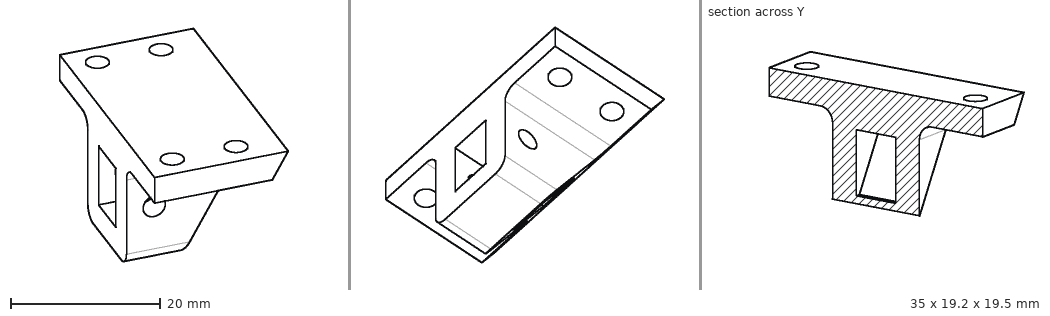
import cadquery as cq
import math

plate_width = 35.0
depth = 19.25
height = 19.5
wall = 4.0
corner_radius = 2.0
back_slope = 30.0

window_width = 6.35
window_height = 9.15
window_center_z = wall + window_height / 2
block_width = window_width + 2 * wall

hole_diameter = 3.2
hole_spacing_x = 27.6
hole_spacing_y = 9.17
hole_front_offset = 4.0

plate_bottom = height - wall


def make_tee():
    """Plate on top of a central block, extruded from front to back."""
    plate = cq.Workplane("XY").box(plate_width, depth, wall, centered=(True, False, False))
    plate = plate.translate((0, 0, plate_bottom))
    block = cq.Workplane("XY").box(block_width, depth, height, centered=(True, False, False))
    tee = plate.union(block)
    reach = block_width / 2 + corner_radius
    inner_corners = cq.selectors.BoxSelector(
        (-reach, 0, plate_bottom - corner_radius),
        (reach, depth, plate_bottom + corner_radius),
    )
    tee = tee.faces("<Z").edges("|Y").fillet(corner_radius)
    return tee.edges("|Y").edges(inner_corners).fillet(corner_radius)


def make_side_envelope():
    """Side outline with the sloping back, as wide as the plate."""
    bottom_depth = depth - height * math.tan(math.radians(back_slope))
    outline = [(0, 0), (bottom_depth, 0), (depth, height), (0, height)]
    return cq.Workplane("YZ").polyline(outline).close().extrude(plate_width / 2, both=True)


def make_window():
    window = cq.Workplane("XY").box(window_width, depth, window_height, centered=(True, False, True))
    return window.translate((0, 0, window_center_z))


def make_cross_hole():
    """Pin hole through both side walls of the window."""
    return (
        cq.Workplane("YZ")
        .center(hole_front_offset, window_center_z)
        .circle(hole_diameter / 2)
        .extrude(block_width, both=True)
    )


def make_plate_holes():
    return (
        cq.Workplane("XY", origin=(0, hole_front_offset + hole_spacing_y / 2, plate_bottom))
        .rarray(hole_spacing_x, hole_spacing_y, 2, 2)
        .circle(hole_diameter / 2)
        .extrude(wall)
    )


result = make_tee().intersect(make_side_envelope())
result = result.cut(make_window()).cut(make_cross_hole()).cut(make_plate_holes())